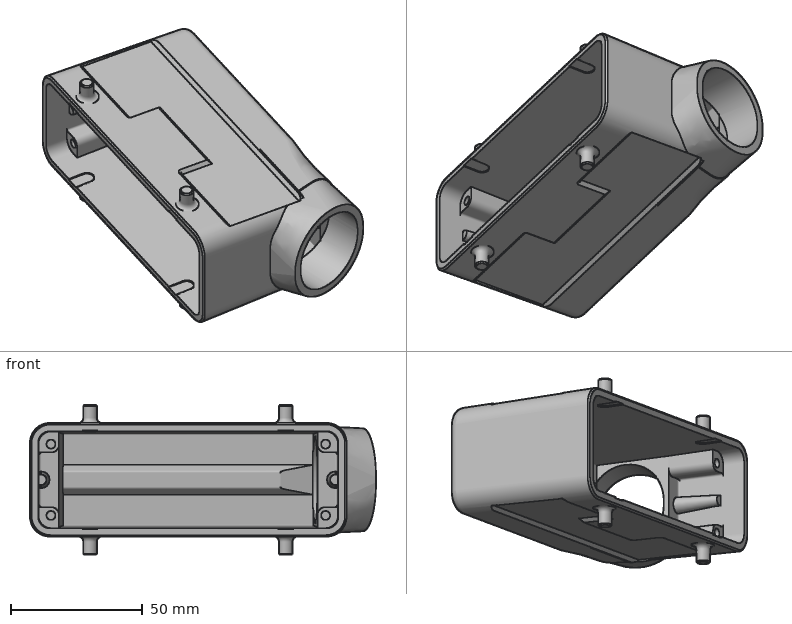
import cadquery as cq
import math

total_length = 131.4
hood_length = 120.2
hood_width = 43.2
hood_depth = 62.4
corner_radius = 7.8
draft = 1.0
back_fillet = 3.5
rim_chamfer = 0.7

wall = 3.2
back_wall = 3.3
cavity_depth = hood_depth - back_wall
cavity_corner_radius = corner_radius - wall
ledge_depth = 28.5
ledge_end = 11.0
ledge_draft = 3.0
post_depth = 9.1
post_inner_z = 10.4
post_rounding = 2.9
post_hole_inset = 8.0
post_hole_z = 13.5
post_hole_radius = 1.7
post_hole_depth = 10.5
rib_depth = 10.1
rib_inset = 4.3
rib_tip_radius = 2.0
rib_base_radius = 3.2
ridge_height = 4.0
ridge_top_width = 6.6
ridge_base_width = 11.3
ridge_ramp_length = 12.4
ridge_rounding = 1.0
floor_fillet = 0.4
pocket_fillet = 0.8

recess_depth = 1.5
recess_edge_slope = 45.0
recess_left = 5.0
recess_right = 115.1
recess_low = 14.8
recess_high = 45.2
tab_left = 40.5
tab_right = 79.5
tab_high = 28.0
recess_clearance = 1.3

pin_x = (22.9, 97.1)
pin_y = 6.3
pin_radius = 2.6
pin_tip = 28.5
pin_chamfer = 0.5
pin_foot_radius = 4.6
pin_foot_height = 2.0
relief_radius = 2.8
relief_depth = 0.4

neck_angle = 16.0
sweep_start_x = 82.5
sweep_radius = 84.8
neck_split = 47.3
neck_root_width = 40.5
neck_root_height = 38.5
neck_end_width = 39.2
neck_end_height = 37.7
neck_root_rounding = 12.5
neck_end_rounding = 18.7
bore_wall = 3.2
sweep_sections = 4

half_width = hood_width / 2
ledge_slope = math.tan(math.radians(ledge_draft)) * (hood_depth - ledge_depth)
middle_x = hood_length / 2
lean = math.tan(math.radians(draft))
sin_neck = math.sin(math.radians(neck_angle))
cos_neck = math.cos(math.radians(neck_angle))
sweep_end_x = sweep_start_x + sweep_radius * sin_neck
neck_length = (total_length - neck_end_height * sin_neck - sweep_end_x) / cos_neck


def rim_plane(x):
    """Workplane in the rim plane, centered at x and facing +Y, with local x along X."""
    return cq.Workplane(cq.Plane((x, 0, 0), xDir=(1, 0, 0), normal=(0, 1, 0)))


def drafted_block(inset, radius, depth):
    """Rounded block growing from the rim into the hood, with drafted sides."""
    outline = rim_plane(middle_x).rect(hood_length - 2 * inset, hood_width - 2 * inset)
    block = outline.extrude(depth, taper=draft)
    return block.edges("not(#Y)").fillet(radius)


def box(x0, x1, y0, y1, z0, z1):
    """Box between the given limits."""
    return cq.Workplane("XY").box(x1 - x0, y1 - y0, z1 - z0, centered=False).translate((x0, y0, z0))


def both_ends(shape):
    """Shape together with its mirror image at the other end of the hood."""
    return shape.union(shape.mirror("YZ", (middle_x, 0, 0)))


def both_sides(shape):
    """Shape together with its mirror image across the middle plane."""
    return shape.union(shape.mirror("XY"))


def path_frame(angle, along):
    """Point on the neck path at a turn angle and a straight run, with the forward and up directions."""
    turn = math.radians(angle)
    forward = cq.Vector(math.cos(turn), math.sin(turn), 0)
    up = cq.Vector(-math.sin(turn), math.cos(turn), 0)
    arc_center = cq.Vector(sweep_start_x, hood_depth + sweep_radius, 0)
    return arc_center - up * sweep_radius + forward * along, forward, up


def tube_section(along, width, height, rounding, inset=0.0):
    """Near-round face square to the straight neck; its top lies inset below the neck path."""
    point, forward, up = path_frame(neck_angle, along)
    plane = cq.Plane(point - up * (height / 2), xDir=(0, 0, 1), normal=forward)
    outline = cq.Sketch().rect(width - 2 * inset, height - 2 * inset).vertices().fillet(rounding - inset)
    return outline.reset().val().Faces()[0].moved(plane.location)


def sweep_section(part):
    """Face square to the curved neck, with sides in line with the hood walls and a rounded top."""
    point, forward, up = path_frame(neck_angle * part, 0)
    top_half = half_width - point.y * lean
    foot_half = top_half + neck_root_height * lean
    foot = point - up * neck_root_height
    corners = [
        point - cq.Vector(0, 0, top_half),
        point + cq.Vector(0, 0, top_half),
        foot + cq.Vector(0, 0, foot_half),
        foot - cq.Vector(0, 0, foot_half),
    ]
    outline = cq.Wire.makePolygon(corners, close=True)
    radius = back_fillet + (neck_root_rounding - back_fillet) * part
    middle = point - up * (neck_root_height / 2)
    top_corners = [vertex for vertex in outline.Vertices() if (vertex.Center() - middle).dot(up) > 0]
    return cq.Face.makeFromWires(outline).fillet2D(radius, top_corners)


def neck_region():
    """Space behind the side recesses from the start of the neck to its tip."""
    return box(sweep_start_x, total_length, neck_split, 2 * hood_depth, -hood_width, hood_width)


def make_sweep():
    """Curved root of the neck, rising out of the back while its corners round out."""
    sections = [sweep_section(step / (sweep_sections - 1)) for step in range(sweep_sections)]
    sweep = cq.Solid.makeLoft([face.outerWire() for face in sections])
    return cq.Workplane(sweep).intersect(neck_region())


def neck_end(inset):
    """Face at the tip of the neck."""
    return tube_section(neck_length, neck_end_width, neck_end_height, neck_end_rounding, inset)


def make_tube():
    """Straight part of the neck, turning near-round toward its tip."""
    root = tube_section(0, neck_root_width, neck_root_height, neck_root_rounding)
    return cq.Workplane(cq.Solid.makeLoft([root.outerWire(), neck_end(0).outerWire()], True))


def make_bore():
    """Straight bore through the neck, ending at the inner end wall of the cavity."""
    reach = 2 * neck_length
    inward = cq.Vector(-cos_neck, -sin_neck, 0) * reach
    bore = cq.Workplane(cq.Solid.extrudeLinear(neck_end(bore_wall), inward))
    inner_end = hood_length - ledge_end - ledge_slope
    return bore.intersect(box(inner_end, total_length, 0, 2 * hood_depth, -half_width, half_width))


def make_ledges():
    """Solid steps that fill both ends of the cavity behind the screw posts."""
    profile = [
        (0, ledge_depth),
        (ledge_end, ledge_depth),
        (ledge_end + ledge_slope, hood_depth),
        (0, hood_depth),
    ]
    ledge = cq.Workplane("XY").polyline(profile).close().extrude(half_width, both=True)
    return both_ends(ledge)


def make_posts():
    """Four corner posts with screw holes."""
    post = box(0, ledge_end, post_depth, hood_depth, post_inner_z, half_width)
    post = post.edges("|Y and >X and <Z").fillet(post_rounding)
    hole = cq.Solid.makeCylinder(
        post_hole_radius,
        post_hole_depth,
        cq.Vector(post_hole_inset, post_depth, post_hole_z),
        cq.Vector(0, 1, 0),
    )
    return both_ends(both_sides(post.cut(cq.Workplane(hole))))


def make_ribs():
    """Tapered half-round ribs in the middle of both end walls."""
    rib = cq.Solid.makeCone(
        rib_tip_radius,
        rib_base_radius,
        ledge_depth - rib_depth,
        cq.Vector(rib_inset, rib_depth, 0),
        cq.Vector(0, 1, 0),
    )
    wall_side = box(0, rib_inset, rib_depth, ledge_depth, -rib_tip_radius, rib_tip_radius)
    return both_ends(cq.Workplane(rib).union(wall_side))


def make_ridge():
    """Ridge with sloping sides along the cavity floor, ending in a ramp toward the neck."""
    top = cavity_depth - ridge_height
    profile = [
        (-ridge_base_width / 2, cavity_depth),
        (-ridge_top_width / 2, top),
        (ridge_top_width / 2, top),
        (ridge_base_width / 2, cavity_depth),
    ]
    ramp_foot = hood_length - ledge_end - ledge_slope
    bar = cq.Workplane("ZY").polyline(profile).close().extrude(-ramp_foot)
    bar = bar.faces("<Y").edges("|X").fillet(ridge_rounding)
    ramp = [(ramp_foot, cavity_depth), (ramp_foot, top), (ramp_foot - ridge_ramp_length, top)]
    return bar.cut(cq.Workplane("XY").polyline(ramp).close().extrude(half_width, both=True))


def make_cavity():
    """Inner space of the hood, left open around the ledges, posts, ribs and ridge."""
    cavity = drafted_block(wall, cavity_corner_radius, cavity_depth)
    cavity = cavity.cut(make_ledges())
    cavity = cavity.faces(">Y").edges("|X").fillet(floor_fillet)
    cavity = cavity.cut(make_posts())
    for end_x in (wall, hood_length - wall):
        along_end_wall = cq.selectors.BoxSelector(
            (end_x - pocket_fillet, post_depth + pocket_fillet, -post_inner_z - pocket_fillet),
            (end_x + pocket_fillet, ledge_depth + pocket_fillet, post_inner_z + pocket_fillet),
        )
        cavity = cavity.edges(along_end_wall).fillet(pocket_fillet)
    return cavity.cut(make_ribs()).cut(make_ridge())


def make_recesses():
    """Shallow recess in both long sides, stepping around a raised tab."""
    outline = [
        (recess_left, recess_low),
        (tab_left, recess_low),
        (tab_left, tab_high),
        (tab_right, tab_high),
        (tab_right, recess_low),
        (recess_right, recess_low),
        (recess_right, recess_high),
        (recess_left, recess_high),
    ]
    wall_plane = cq.Plane((0, 0, half_width), xDir=(1, 0, 0), normal=(0, lean, 1))
    floor = cq.Workplane(wall_plane).workplane(offset=-recess_depth)
    height = recess_depth + recess_clearance
    recess = floor.polyline(outline).close().extrude(height, taper=-recess_edge_slope)
    return both_sides(recess)


def make_pin(x):
    """Pin with a flared foot and a chamfered tip, pointing toward +Z."""
    foot = half_width - pin_y * lean
    start = half_width - wall / 2
    profile = (
        cq.Workplane("XZ")
        .moveTo(0, start)
        .lineTo(pin_foot_radius, start)
        .lineTo(pin_foot_radius, foot)
        .radiusArc((pin_radius, foot + pin_foot_height), pin_foot_height)
        .lineTo(pin_radius, pin_tip - pin_chamfer)
        .lineTo(pin_radius - pin_chamfer, pin_tip)
        .lineTo(0, pin_tip)
        .close()
    )
    return profile.revolve(360, (0, 0), (0, 1)).translate((x, pin_y, 0))


def make_relief(x):
    """U-shaped relief in the long inner walls beside a pin, open at the rim."""
    relief_floor = half_width - wall + relief_depth
    start = relief_floor - wall
    round_end = cq.Workplane("XY").circle(relief_radius).extrude(wall).translate((x, pin_y, start))
    slot = box(x - relief_radius, x + relief_radius, 0, pin_y, start, relief_floor)
    return both_sides(round_end.union(slot))


hood = drafted_block(0, corner_radius, hood_depth)
hood = hood.faces(">Y").edges().fillet(back_fillet)
hood = hood.faces("<Y").edges().chamfer(rim_chamfer)
hood = hood.cut(neck_region()).union(make_sweep()).union(make_tube())
hood = hood.cut(make_recesses()).cut(make_cavity()).cut(make_bore())
for x in pin_x:
    hood = hood.union(both_sides(make_pin(x))).cut(make_relief(x))
result = hood